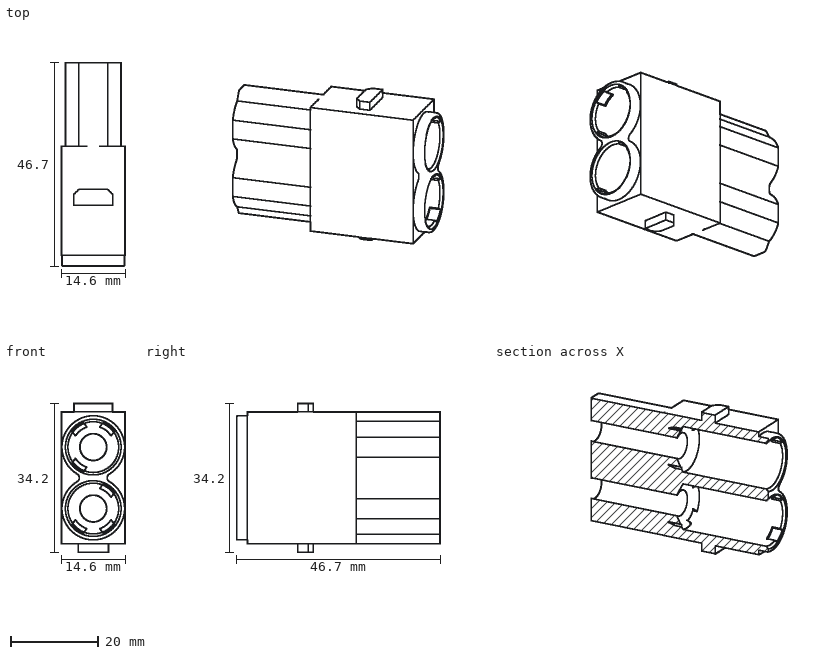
import cadquery as cq
import math

BODY_WIDTH = 14.6
BODY_LENGTH = 25.0
BODY_HEIGHT = 30.3

BORE_PITCH = 14.1
BORE_Z = BORE_PITCH / 2

COLLAR_LENGTH = 2.5
COLLAR_RADIUS = 7.2
COLLAR_EDGE_FILLET = 0.3
WAIST_FILLET = 1.0

SHANK_LENGTH = 19.2
LOBE_RADIUS = 6.8
SHANK_HALF_WIDTH = 6.4
WEB_HALF_WIDTH = 3.4
RIB_FLAT_HALF_WIDTH = 1.5
RIB_FILLET = 1.0
RIB_DEPTH = 3.2
RIB_SIDE_ANGLE = 60.0

TAB_HEIGHT = 1.95
TAB_LENGTH = 3.65
TAB_FRONT_Y = 11.5
TAB_CHAMFER = 1.2
TOP_TAB_WIDTH = 8.9
BOTTOM_TAB_WIDTH = 7.0

BORE_RADIUS = 5.83
MOUTH_RADIUS = 6.4
MOUTH_CHAMFER_LENGTH = 0.57
THROUGH_RADIUS = 3.05
STRAIGHT_BORE_LENGTH = 22.5
CONE_LENGTH = 1.6

KEYWAY_OUTER_RADIUS = 6.25
KEYWAY_WIDTH = 3.3
KEYWAY_LENGTH = 2.7
KEYWAY_ANGLE = 52.3
POCKET_INNER_RADIUS = 4.83
POCKET_LENGTH = 4.0

FRONT_Y = -COLLAR_LENGTH
REAR_Y = BODY_LENGTH + SHANK_LENGTH
CONE_START_Y = FRONT_Y + STRAIGHT_BORE_LENGTH


def extrude_along_y(sketch, start_y, end_y):
    """Extrude a sketch drawn in (X, Z) from start_y to end_y."""
    return (
        cq.Workplane("XZ", origin=(0, start_y, 0))
        .placeSketch(sketch)
        .extrude(start_y - end_y)
    )


def cylinder_along_y(radius, z, start_y, end_y):
    return extrude_along_y(cq.Sketch().push([(0, z)]).circle(radius), start_y, end_y)


def lobe_blend(lobe_radius, web_half_width=None):
    """Web between two lobes of the given radius, its sides hollowed by WAIST_FILLET arcs.

    Without a web width the two arcs on each side join into a single arc.
    """
    reach = lobe_radius + WAIST_FILLET
    if web_half_width is None:
        center_x = math.sqrt(reach**2 - BORE_Z**2)
        center_z = 0.0
    else:
        center_x = web_half_width + WAIST_FILLET
        center_z = BORE_Z - math.sqrt(reach**2 - center_x**2)
    web_x = center_x - WAIST_FILLET

    touch_x = center_x * lobe_radius / reach
    touch_z = BORE_Z - (BORE_Z - center_z) * lobe_radius / reach
    half_turn = math.atan2(touch_z - center_z, center_x - touch_x) / 2
    mid_x = center_x - WAIST_FILLET * math.cos(half_turn)
    mid_z = center_z + WAIST_FILLET * math.sin(half_turn)

    outline = cq.Workplane("XZ").moveTo(-touch_x, touch_z).lineTo(touch_x, touch_z)
    outline = outline.threePointArc((mid_x, mid_z), (web_x, center_z))
    if center_z > 0:
        outline = outline.lineTo(web_x, -center_z)
    outline = outline.threePointArc((mid_x, -mid_z), (touch_x, -touch_z))
    outline = outline.lineTo(-touch_x, -touch_z)
    outline = outline.threePointArc((-mid_x, -mid_z), (-web_x, -center_z))
    if center_z > 0:
        outline = outline.lineTo(-web_x, center_z)
    return outline.threePointArc((-mid_x, mid_z), (-touch_x, touch_z)).close()


def double_lobe(lobe_radius, start_y, end_y, web_half_width=None):
    """Two round lobes on the bore axes joined by a blended web."""
    web = lobe_blend(lobe_radius, web_half_width).extrude(start_y - end_y)
    lobes = web.translate((0, start_y, 0))
    for z in (BORE_Z, -BORE_Z):
        lobes = lobes.union(cylinder_along_y(lobe_radius, z, start_y, end_y))
    return lobes.clean()


def make_body():
    return cq.Workplane("XY").box(BODY_WIDTH, BODY_LENGTH, BODY_HEIGHT).translate((0, BODY_LENGTH / 2, 0))


def make_collar():
    collar = double_lobe(COLLAR_RADIUS, FRONT_Y, 0)
    return collar.faces("<Y").edges().fillet(COLLAR_EDGE_FILLET)


def make_rib():
    """Upper rib of the shank, a trapezoid with rounded outer corners."""
    slope = math.radians(RIB_SIDE_ANGLE)
    top_z = BODY_HEIGHT / 2
    corner_x = RIB_FLAT_HALF_WIDTH + RIB_FILLET * math.tan(slope / 2)
    base_x = corner_x + RIB_DEPTH / math.tan(slope)
    base_z = top_z - RIB_DEPTH
    rib = (
        cq.Workplane("XZ", origin=(0, BODY_LENGTH, 0))
        .polyline([(-corner_x, top_z), (corner_x, top_z), (base_x, base_z), (-base_x, base_z)])
        .close()
        .extrude(-SHANK_LENGTH)
    )
    return rib.faces(">Z").edges("|Y").fillet(RIB_FILLET)


def make_shank():
    shank = double_lobe(LOBE_RADIUS, BODY_LENGTH, REAR_Y, WEB_HALF_WIDTH)
    side_limit = cq.Workplane("XY").box(2 * SHANK_HALF_WIDTH, 2 * REAR_Y, BODY_HEIGHT)
    rib = make_rib()
    return shank.intersect(side_limit).union(rib).union(rib.mirror("XY"))


def make_tab(width, base_z):
    """Latch tab with its two rear corners chamfered, growing up from base_z."""
    tab = cq.Workplane("XY").box(width, TAB_LENGTH, TAB_HEIGHT, centered=(True, False, False))
    tab = tab.faces(">Y").edges("|Z").chamfer(TAB_CHAMFER)
    return tab.translate((0, TAB_FRONT_Y, base_z))


def revolve_about_bore(profile, z):
    """Revolve a closed (radius, Y) profile about the bore axis at height z."""
    return cq.Workplane("XY").polyline(profile).close().revolve(360, (0, 0), (0, 1)).translate((0, 0, z))


def make_bore(z):
    profile = [
        (0, FRONT_Y),
        (MOUTH_RADIUS, FRONT_Y),
        (BORE_RADIUS, FRONT_Y + MOUTH_CHAMFER_LENGTH),
        (BORE_RADIUS, CONE_START_Y),
        (THROUGH_RADIUS, CONE_START_Y + CONE_LENGTH),
        (THROUGH_RADIUS, REAR_Y),
        (0, REAR_Y),
    ]
    return revolve_about_bore(profile, z)


def make_keyway(z, angle):
    """Notch in the bore mouth plus the steep pocket in line with it in the cone."""
    notch = cylinder_along_y(KEYWAY_OUTER_RADIUS, z, FRONT_Y, FRONT_Y + KEYWAY_LENGTH)
    pocket = revolve_about_bore(
        [
            (POCKET_INNER_RADIUS, CONE_START_Y),
            (BORE_RADIUS, CONE_START_Y),
            (POCKET_INNER_RADIUS, CONE_START_Y + POCKET_LENGTH),
        ],
        z,
    )
    sector = (
        cq.Workplane("XY")
        .box(MOUTH_RADIUS, 2 * REAR_Y, KEYWAY_WIDTH, centered=(False, True, True))
        .rotate((0, 0, 0), (0, 1, 0), -angle)
        .translate((0, 0, z))
    )
    return notch.union(pocket).intersect(sector)


result = make_body().union(make_collar()).union(make_shank())
result = result.union(make_tab(TOP_TAB_WIDTH, BODY_HEIGHT / 2))
result = result.union(make_tab(BOTTOM_TAB_WIDTH, -BODY_HEIGHT / 2 - TAB_HEIGHT))

for bore_z in (BORE_Z, -BORE_Z):
    result = result.cut(make_bore(bore_z))

shared_angles = (KEYWAY_ANGLE, 180 + KEYWAY_ANGLE)
upper_angles = shared_angles + (180 - KEYWAY_ANGLE,)
lower_angles = shared_angles + (-KEYWAY_ANGLE,)
for bore_z, angles in ((BORE_Z, upper_angles), (-BORE_Z, lower_angles)):
    for keyway_angle in angles:
        result = result.cut(make_keyway(bore_z, keyway_angle))